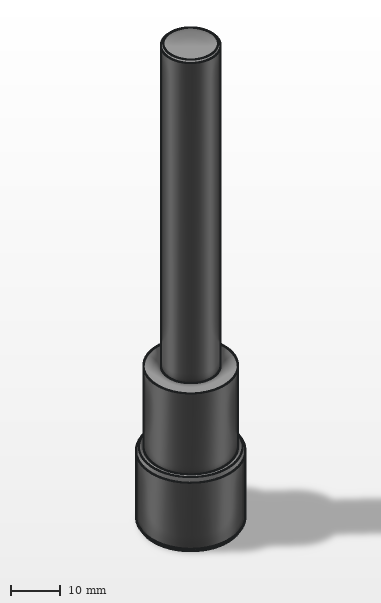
import math

import cadquery as cq

total_length = 118.5
pin_length = 80.0
head_length = 18.4
collar_length = total_length - pin_length - head_length

pin_diameter = 12.0
collar_diameter = 19.0
head_diameter = 22.0

head_chamfer_height = 1.0
head_chamfer_angle = 30.0
head_chamfer_width = head_chamfer_height * math.tan(math.radians(head_chamfer_angle))

pin_chamfer = 0.5


def cylinder(diameter, length, base_height):
    """Upright cylinder on the Z axis, starting at base_height."""
    return cq.Workplane("XY").workplane(offset=base_height).circle(diameter / 2).extrude(length)


def chamfered_head():
    """Widest step, with a steep chamfer around both ends."""
    radius = head_diameter / 2
    face_radius = radius - head_chamfer_width
    profile = (
        cq.Workplane("XZ")
        .lineTo(face_radius, 0)
        .lineTo(radius, head_chamfer_height)
        .lineTo(radius, head_length - head_chamfer_height)
        .lineTo(face_radius, head_length)
        .lineTo(0, head_length)
        .close()
    )
    return profile.revolve(360, (0, 0, 0), (0, 1, 0))


def chamfered_pin():
    """Long slim shank with a chamfered tip."""
    pin = cylinder(pin_diameter, pin_length, head_length + collar_length)
    return pin.faces(">Z").edges().chamfer(pin_chamfer)


head = chamfered_head()
collar = cylinder(collar_diameter, collar_length, head_length)
pin = chamfered_pin()

result = head.union(collar).union(pin)